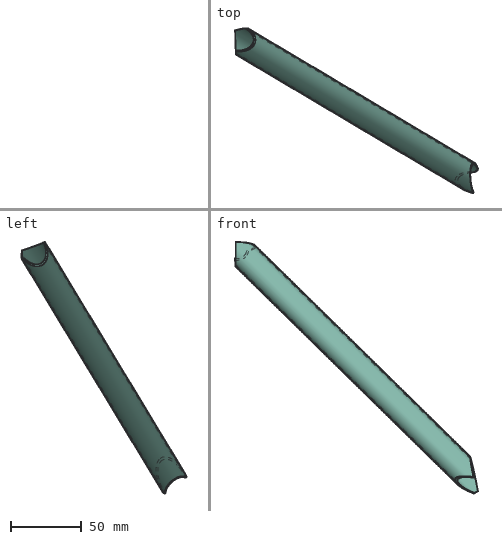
import cadquery as cq

outer_radius = 10.1
wall = 1.0
tube_middle = cq.Vector(2.3, -0.4, 0)
tube_direction = cq.Vector(65.7, -39.0, -64.5).normalized()
blank_half_length = 168.5

upper_mitres = [
    ((-1, -0.03, 0), -133.3),
    ((0.02, 0.34, 0.94), -132.4),
    ((-0.27, 0.94, 0.21), -137.2),
]
lower_mitres = [
    ((0.97, -0.06, 0.22), 124.5),
    ((-0.29, -0.57, -0.77), 130.6),
    ((0.57, -0.17, -0.80), 129.9),
]
cutter_size = 142


def tube_blank():
    """Overlong tube along its axis, with its seam level with the axis."""
    level_side = cq.Vector(tube_direction.y, -tube_direction.x, 0)
    start = tube_middle - tube_direction * blank_half_length
    end_plane = cq.Plane(origin=start, xDir=level_side, normal=tube_direction)
    return (
        cq.Workplane(end_plane)
        .circle(outer_radius)
        .circle(outer_radius - wall)
        .extrude(2 * blank_half_length)
    )


def mitre_cutter(normal, axis_distance):
    """Block of waste on the outer side of one mitre plane."""
    origin = tube_middle + tube_direction * axis_distance
    face = cq.Plane(origin=origin, normal=normal)
    return cq.Workplane(face).rect(cutter_size, cutter_size).extrude(cutter_size)


result = tube_blank()
for mitre_normal, mitre_distance in upper_mitres + lower_mitres:
    result = result.cut(mitre_cutter(mitre_normal, mitre_distance))